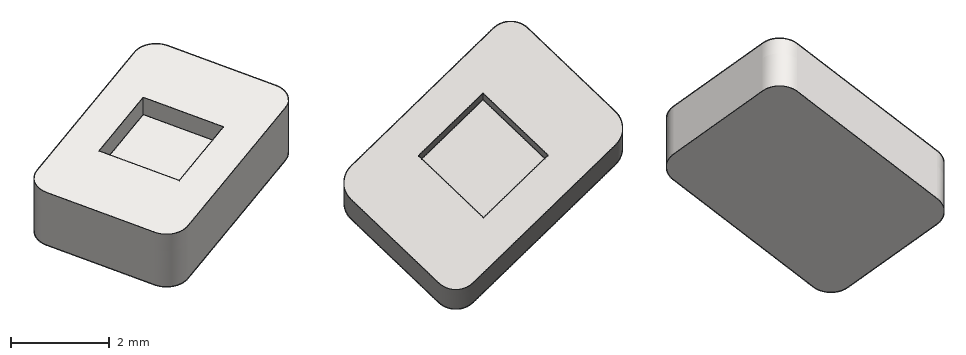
import cadquery as cq

WIDTH = 3.5
LENGTH = 5.1
HEIGHT = 1.44
CORNER_RADIUS = 0.5

LID_THICKNESS = 0.47
BASE_HEIGHT = HEIGHT - LID_THICKNESS
WINDOW_SIDE = 1.86


def rounded_plate(bottom_z, thickness):
    """Plate with the package outline and rounded vertical edges."""
    return (
        cq.Workplane("XY", origin=(0, 0, bottom_z))
        .rect(WIDTH, LENGTH)
        .extrude(thickness)
        .edges("|Z")
        .fillet(CORNER_RADIUS)
    )


def make_base():
    """Solid lower body."""
    return rounded_plate(0, BASE_HEIGHT)


def make_lid():
    """Upper plate with the square window through its centre."""
    window = (
        cq.Workplane("XY", origin=(0, 0, BASE_HEIGHT))
        .rect(WINDOW_SIDE, WINDOW_SIDE)
        .extrude(LID_THICKNESS)
    )
    return rounded_plate(BASE_HEIGHT, LID_THICKNESS).cut(window)


result = make_base().union(make_lid(), clean=False)